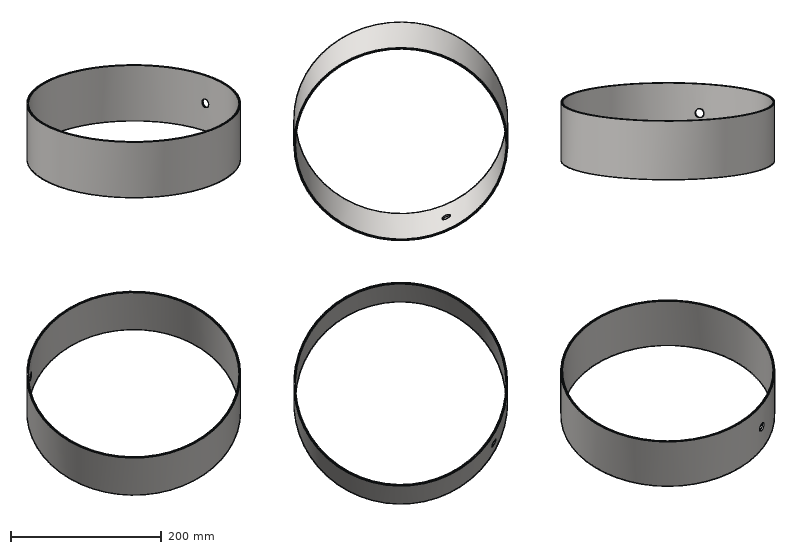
import cadquery as cq

outer_diameter = 285.0
height = 80.0
wall = 2.5
edge_chamfer = 0.5
hole_diameter = 12.0

outer_radius = outer_diameter / 2
inner_radius = outer_radius - wall


def make_ring():
    """Thin cylindrical band, centred on the origin, with all rim edges chamfered."""
    base = cq.Workplane("XY").workplane(offset=-height / 2)
    band = base.circle(outer_radius).circle(inner_radius).extrude(height)
    return band.faces("<Z or >Z").edges().chamfer(edge_chamfer)


def make_wall_hole():
    """Radial cutter that pierces only the +Y side, at mid-height."""
    return cq.Workplane("XZ").circle(hole_diameter / 2).extrude(-outer_diameter)


result = make_ring().cut(make_wall_hole())